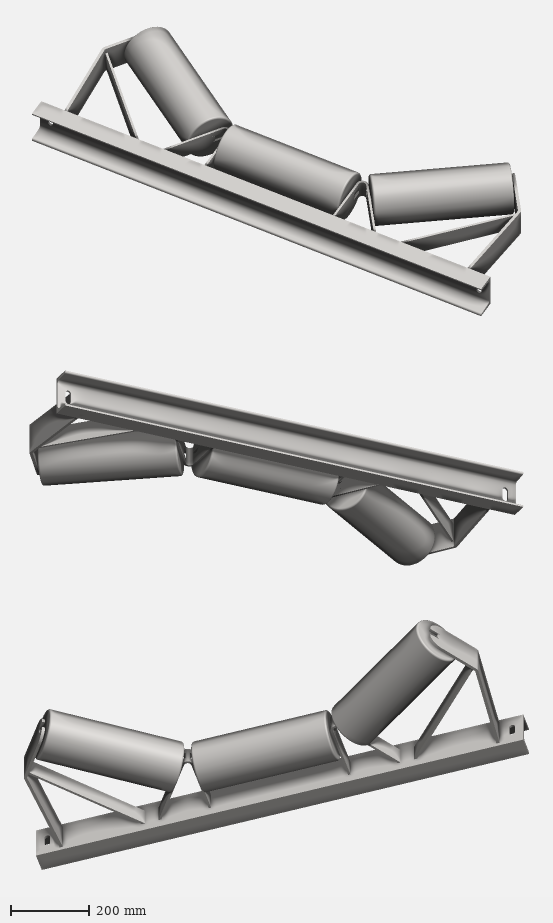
import cadquery as cq
import math

base_length = 1300.0
base_height = 100.0
base_depth = 50.0
web_thickness = 6.0
flange_thickness = 8.5
flange_slope = 0.08
root_radius = 8.5
toe_radius = 4.5
mount_slot_width = 15.0
mount_slot_height = 38.0
mount_slot_inset = 30.0

roller_diameter = 133.0
roller_length = 360.0
rim_radius = 5.0
trough_angle = 35.0
middle_roller_y = 168.0
wing_roller_x = 380.0
overall_depth = 443.18
spindle_diameter = 20.0

roller_gap = 3.0
inner_bar_width = 50.0
inner_bar_thickness = 6.0
inner_bend_radius = 16.0
inner_slot_height = 60.0
outer_bar_width = 80.0
outer_bar_thickness = 8.0
outer_bend_radius = 12.0
outer_foot_x = 586.5
outer_leg_lean = 4.5
outer_tip_reach = 31.0
outer_tip_drop = 3.0

strut_thickness = 6.0
strut_width = 50.0
strut_foot_x = 359.0
strut_angle = 47.0

roller_radius = roller_diameter / 2
spindle_radius = spindle_diameter / 2
slope_cos = math.cos(math.radians(trough_angle))
slope_sin = math.sin(math.radians(trough_angle))
middle_axis = (1.0, 0.0)
wing_axis = (slope_cos, -slope_sin)
wing_outward = (-slope_cos, slope_sin)
wing_up = (slope_sin, slope_cos)

rim_centre_rise = (roller_length / 2 - rim_radius) * slope_sin + (roller_radius - rim_radius) * slope_cos
wing_roller_y = overall_depth - rim_radius - rim_centre_rise
wing_centre = (-wing_roller_x, wing_roller_y)
middle_centre = (0.0, middle_roller_y)


def dot(a, b):
    """Dot product of two vectors in the XY plane."""
    return a[0] * b[0] + a[1] * b[1]


def line_through(point, normal):
    """A line in the XY plane, held as (unit normal, distance from the origin)."""
    return (normal, dot(point, normal))


def shifted(line, distance):
    """The same line moved along its normal."""
    return (line[0], line[1] + distance)


def meet(line_a, line_b):
    """The point where two lines cross."""
    (ax, ay), a = line_a
    (bx, by), b = line_b
    det = ax * by - ay * bx
    return ((a * by - b * ay) / det, (ax * b - bx * a) / det)


channel_back = line_through((0.0, base_depth), (0.0, 1.0))

inner_leg_face = line_through((-roller_length / 2 - roller_gap, 0.0), (1.0, 0.0))
inner_arm_face = shifted(line_through(wing_centre, wing_outward), -roller_length / 2 - roller_gap)
lean = math.radians(outer_leg_lean)
outer_leg_face = line_through((-outer_foot_x, base_depth), (-math.cos(lean), -math.sin(lean)))
outer_arm_face = shifted(
    line_through(wing_centre, wing_outward), roller_length / 2 + roller_gap + outer_bar_thickness
)
outer_tip = shifted(line_through(wing_centre, wing_up), outer_tip_reach)


def roller_frame(centre, axis):
    """Work plane at a roller centre whose normal runs along the roller axis and whose X is up."""
    return cq.Plane(origin=(*centre, 0), xDir=(-axis[1], axis[0], 0), normal=(*axis, 0))


def make_channel():
    half = base_height / 2
    root_flange = flange_thickness + flange_slope * (base_depth / 2 - web_thickness)
    toe_flange = flange_thickness - flange_slope * base_depth / 2
    web_y = base_depth - web_thickness
    channel = (
        cq.Workplane("YZ", origin=(-base_length / 2, 0, 0))
        .polyline([
            (base_depth, -half), (0, -half), (0, toe_flange - half), (web_y, root_flange - half),
            (web_y, half - root_flange), (0, half - toe_flange), (0, half), (base_depth, half),
        ])
        .close()
        .extrude(base_length)
    )
    root_z = half - root_flange
    toe_z = half - toe_flange
    for z in (root_z, -root_z):
        channel = channel.edges(cq.selectors.NearestToPointSelector((0, web_y, z))).fillet(root_radius)
    for z in (toe_z, -toe_z):
        channel = channel.edges(cq.selectors.NearestToPointSelector((0, 0, z))).fillet(toe_radius)
    slot_x = base_length / 2 - mount_slot_inset
    slots = (
        cq.Workplane("XZ")
        .pushPoints([(-slot_x, 0), (slot_x, 0)])
        .slot2D(mount_slot_height, mount_slot_width, 90)
        .extrude(-base_depth)
    )
    return channel.cut(slots)


def make_roller(centre, axis, low_spindle, high_spindle):
    """Roller whose spindle sticks out by the given lengths at its two ends."""
    frame = roller_frame(centre, axis)
    shell = (
        cq.Workplane(frame)
        .workplane(offset=-roller_length / 2)
        .circle(roller_radius)
        .extrude(roller_length)
        .edges()
        .fillet(rim_radius)
    )
    spindle = (
        cq.Workplane(frame)
        .workplane(offset=-roller_length / 2 - low_spindle)
        .circle(spindle_radius)
        .extrude(roller_length + low_spindle + high_spindle)
    )
    return shell.union(spindle)


def spindle_slot(centre, axis, start, depth, height):
    """Cutter for an open slot: round below the spindle, running up off the bar."""
    frame = cq.Workplane(roller_frame(centre, axis)).workplane(offset=start)
    seat = frame.circle(spindle_radius).extrude(depth)
    throat = frame.center(height / 2, 0).rect(height, spindle_diameter).extrude(depth)
    return seat.union(throat)


def bent_bar(first_face, first_end, second_face, second_end, width, thickness, bend_radius):
    """Flat bar with one bend; the faces are the outside of the bend."""
    first_back = shifted(first_face, -thickness)
    second_back = shifted(second_face, -thickness)
    outside = meet(first_face, second_face)
    inside = meet(first_back, second_back)
    bar = (
        cq.Workplane("XY")
        .polyline([
            meet(first_face, first_end), outside, meet(second_face, second_end),
            meet(second_back, second_end), inside, meet(first_back, first_end),
        ])
        .close()
        .extrude(width / 2, both=True)
    )
    bar = bar.edges(cq.selectors.NearestToPointSelector((*outside, 0))).fillet(bend_radius)
    return bar.edges(cq.selectors.NearestToPointSelector((*inside, 0))).fillet(bend_radius - thickness)


def make_inner_bracket():
    bracket = bent_bar(
        inner_leg_face, channel_back, inner_arm_face, channel_back,
        inner_bar_width, inner_bar_thickness, inner_bend_radius,
    )
    near_side = roller_length / 2 + roller_gap
    leg_slot = spindle_slot(
        middle_centre, middle_axis, -near_side - inner_bar_thickness, inner_bar_thickness, inner_slot_height
    )
    arm_slot = spindle_slot(wing_centre, wing_axis, near_side, inner_bar_thickness, inner_slot_height)
    return bracket.cut(leg_slot).cut(arm_slot)


def make_outer_bracket():
    bracket = bent_bar(
        outer_leg_face, channel_back, outer_arm_face, outer_tip,
        outer_bar_width, outer_bar_thickness, outer_bend_radius,
    )
    far_side = -roller_length / 2 - roller_gap - outer_bar_thickness
    frame = cq.Workplane(roller_frame(wing_centre, wing_axis)).workplane(offset=far_side)
    tip = frame.center(-outer_tip_drop, 0)
    rounded_end = tip.circle(outer_bar_width / 2).extrude(outer_bar_thickness)
    end_block = (
        tip.center(outer_bar_width / 2, 0)
        .rect(outer_bar_width, outer_bar_width)
        .extrude(outer_bar_thickness)
    )
    slot = spindle_slot(wing_centre, wing_axis, far_side, outer_bar_thickness, outer_bar_width)
    return bracket.cut(end_block.cut(rounded_end)).cut(slot)


def make_strut(outer_bracket):
    """Flat bar from the channel into the inside of the outer bracket's bend."""
    arm_middle = shifted(outer_arm_face, -outer_bar_thickness / 2)
    angle = math.radians(strut_angle)
    upper_face = line_through((-strut_foot_x, base_depth), (math.sin(angle), math.cos(angle)))
    lower_face = shifted(upper_face, -strut_thickness)
    strut = (
        cq.Workplane("XY")
        .polyline([
            meet(upper_face, channel_back), meet(upper_face, arm_middle),
            meet(lower_face, arm_middle), meet(lower_face, channel_back),
        ])
        .close()
        .extrude(strut_width / 2, both=True)
    )
    return strut.cut(outer_bracket)


inner_spindle = roller_gap + inner_bar_thickness
outer_spindle = roller_gap + outer_bar_thickness
channel = make_channel()
middle_roller = make_roller(middle_centre, middle_axis, inner_spindle, inner_spindle)
outer_bracket = make_outer_bracket()
left_side = [
    make_roller(wing_centre, wing_axis, outer_spindle, inner_spindle),
    make_inner_bracket(),
    outer_bracket,
    make_strut(outer_bracket),
]
bodies = [channel.val(), middle_roller.val()]
for body in left_side:
    bodies.append(body.val())
    bodies.append(body.mirror("YZ").val())

result = cq.Compound.makeCompound(bodies)